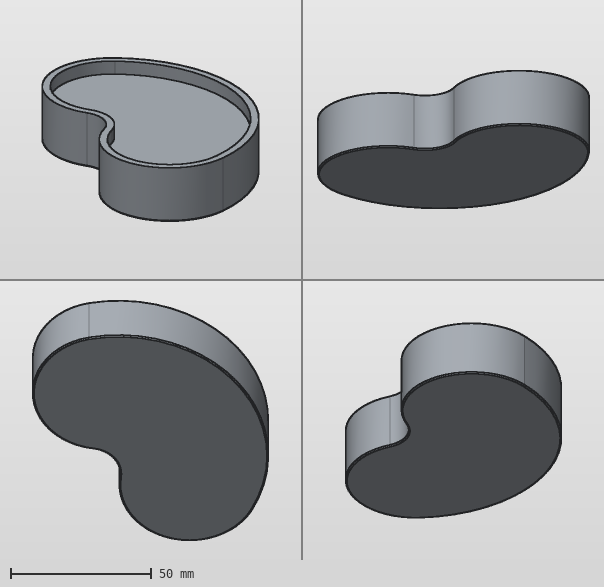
import cadquery as cq
import math

length = 100.8
width = 65.9
height = 21.0
lobe_radius = 25.0
notch_radius = 10.9
wall = 2.9
recess_depth = 5.0
base_chamfer = 0.5

lobe_x = length / 2 - lobe_radius
crown_y = width - lobe_radius
notch_center_y = -math.sqrt((lobe_radius + notch_radius) ** 2 - lobe_x**2)

crown_radius = (lobe_x**2 + crown_y**2 - lobe_radius**2) / (2 * (crown_y - lobe_radius))
crown_center_y = crown_y - crown_radius


def bean_outline(plane, inset):
    """Closed bean of tangent arcs, moved inward everywhere by inset."""
    lobe_r = lobe_radius - inset
    notch_r = notch_radius + inset
    crown_r = crown_radius - inset

    crown_angle = math.atan2(-crown_center_y, lobe_x)
    crown_joint_x = crown_r * math.cos(crown_angle)
    crown_joint_y = crown_center_y + crown_r * math.sin(crown_angle)
    notch_angle = math.atan2(-notch_center_y, lobe_x)
    notch_joint_x = notch_r * math.cos(notch_angle)
    notch_joint_y = notch_center_y + notch_r * math.sin(notch_angle)

    return (
        plane.moveTo(-crown_joint_x, crown_joint_y)
        .threePointArc((0, crown_center_y + crown_r), (crown_joint_x, crown_joint_y))
        .threePointArc((lobe_x, -lobe_r), (notch_joint_x, notch_joint_y))
        .threePointArc((0, notch_center_y + notch_r), (-notch_joint_x, notch_joint_y))
        .threePointArc((-lobe_x, -lobe_r), (-crown_joint_x, crown_joint_y))
        .close()
    )


body = bean_outline(cq.Workplane("XY"), 0).extrude(height)
body = body.faces("<Z").edges().chamfer(base_chamfer)

recess_floor = cq.Workplane("XY").workplane(offset=height - recess_depth)
recess = bean_outline(recess_floor, wall).extrude(recess_depth)

result = body.cut(recess)